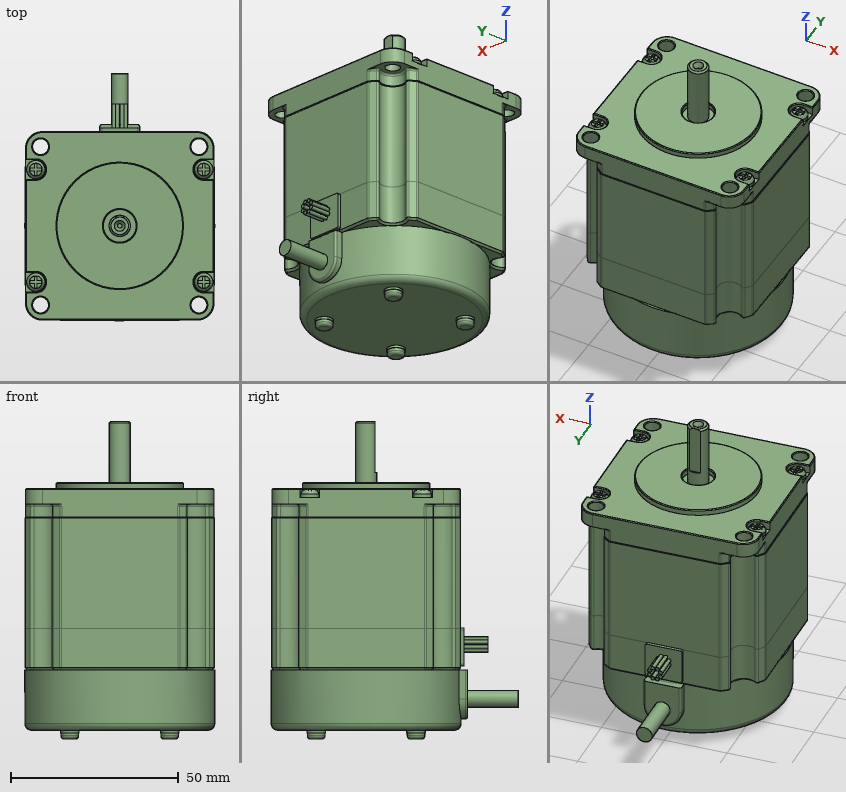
import cadquery as cq

TOTAL_HEIGHT = 94.65
CAP_BOTTOM = 2.65
CAP_TOP = 20.6
STATOR_BOTTOM = 33.0
STATOR_TOP = 65.9
FLANGE_BOTTOM = 69.9
FLANGE_TOP = 74.6
PILOT_TOP = 76.4

STATOR_WIDTH = 56.3
FLANGE_WIDTH = 56.1
FLANGE_CORNER_RADIUS = 5.0
FLANGE_EDGE_CHAMFER = 0.3
BODY_BOTTOM_CHAMFER = 0.7
STATOR_SEAM_CHAMFER = 0.3

CAP_DIAMETER = 56.6
CAP_FILLET = 2.1

RELIEF_START = 10.5
RELIEF_SHOULDER = (7.7, 2.0)
RELIEF_DEPTH = 7.9
RELIEF_START_FILLET = 0.9
RELIEF_SHOULDER_FILLET = 0.8
RELIEF_CEILING_FILLET = 0.7

MOUNT_PITCH = 47.1
MOUNT_HOLE_DIAMETER = 4.7

PILOT_DIAMETER = 38.0
SHAFT_CLEARANCE_DIAMETER = 9.75
PILOT_EDGE_CHAMFER = 0.3

SHAFT_DIAMETER = 6.3
SHAFT_CHAMFER = 0.6
FLAT_OFFSET = 2.65
FLAT_BOTTOM = 79.4
CENTER_HOLE_DIAMETER = 3.2
CENTER_DRILL_DIAMETER = 1.3
CENTER_DRILL_DEPTH = 2.8
CENTER_HOLE_ANGLE = 60

SCREW_X = 25.0
SCREW_Y = 16.8
NOTCH_RADIUS = 2.9
NOTCH_FLOOR = 71.9
HEAD_RADIUS = 2.7
HEAD_HEIGHT = 2.4
HEAD_RIM_HEIGHT = 1.0
HEAD_TOP_RADIUS = 1.9
HEAD_BULGE_RADIUS = 2.5
HEAD_BULGE_HEIGHT = 1.7
CROSS_SPAN = 3.5
CROSS_WIDTH = 0.85
CROSS_DEPTH = 0.85

FOOT_SCREW_OFFSET = 14.9
FOOT_RIM_DIAMETER = 5.6
FOOT_RIM_HEIGHT = 0.8
FOOT_HEAD_DIAMETER = 5.3
FOOT_HEAD_FILLET = 1.0

PLATE_WIDTH = 11.7
PLATE_BOTTOM = 21.8
PLATE_TOP = 33.1
PLATE_END = 29.15
PLATE_CORNER_RADIUS = 0.6

WIRE_COUNT = 8
WIRE_DIAMETER = 1.2
WIRE_RING_RADIUS = 1.9
WIRE_CENTER_Z = 28.2
WIRE_END = 36.3

GROMMET_RADIUS = 6.0
GROMMET_END = 30.2
GROMMET_FILLET = 0.7
CABLE_DIAMETER = 5.0
CABLE_CENTER_Z = 12.0
CABLE_END = 45.3

TOLERANCE = 0.01
ROOT_DEPTH = 2.8


def cylinder(diameter, bottom, top):
    return cq.Workplane("XY").workplane(offset=bottom).circle(diameter / 2).extrude(top - bottom)


def back_plane(start):
    """Sketch plane at Y = start facing +Y; local coordinates are (-X, Z)."""
    return cq.Workplane("XZ", origin=(0, start, 0)).transformed(rotate=(0, 180, 0))


def corner_relief(width, bottom, top, ceiling_fillet=0):
    """Material removed from the (-X, -Y) corner of a square section."""
    along, inward = RELIEF_SHOULDER
    overrun = 2 * RELIEF_START - along
    corner = -width / 2
    relief = (
        cq.Workplane("XY", origin=(corner, corner, bottom))
        .moveTo(-inward, -inward)
        .lineTo(overrun, -inward)
        .lineTo(along, inward)
        .threePointArc((RELIEF_DEPTH, RELIEF_DEPTH), (inward, along))
        .lineTo(-inward, overrun)
        .close()
        .extrude(top - bottom)
    )

    def on_shoulder(edge):
        center = edge.Center()
        return abs(abs(center.x - center.y) - (along - inward)) < TOLERANCE

    relief = relief.edges("|Z").filter(on_shoulder).fillet(RELIEF_SHOULDER_FILLET)
    if ceiling_fillet:
        relief = relief.faces(">Z").edges("not(<X or <Y)").fillet(ceiling_fillet)
    return relief


def body_section(width, bottom, top, ceiling_fillet=0):
    """Square length of housing with a rounded relief along each corner."""
    section = cq.Workplane("XY", origin=(0, 0, bottom)).rect(width, width).extrude(top - bottom)
    relief = corner_relief(width, bottom, top, ceiling_fillet)
    for quarter in range(4):
        section = section.cut(relief.rotate((0, 0, 0), (0, 0, 1), 90 * quarter))

    def on_side(edge):
        center = edge.Center()
        return max(abs(center.x), abs(center.y)) > width / 2 - TOLERANCE

    return section.edges("|Z").filter(on_side).fillet(RELIEF_START_FILLET)


def front_bell():
    """Mounting flange on a relieved housing length, with pilot, holes and screw notches."""
    flange = (
        cq.Workplane("XY", origin=(0, 0, FLANGE_BOTTOM))
        .rect(FLANGE_WIDTH, FLANGE_WIDTH)
        .extrude(FLANGE_TOP - FLANGE_BOTTOM)
        .edges("|Z")
        .fillet(FLANGE_CORNER_RADIUS)
    )
    bell = flange.union(body_section(FLANGE_WIDTH, STATOR_TOP, FLANGE_BOTTOM, RELIEF_CEILING_FILLET))

    mount_holes = (
        cq.Workplane("XY", origin=(0, 0, FLANGE_BOTTOM))
        .rect(MOUNT_PITCH, MOUNT_PITCH, forConstruction=True)
        .vertices()
        .circle(MOUNT_HOLE_DIAMETER / 2)
        .extrude(FLANGE_TOP - FLANGE_BOTTOM)
    )
    bell = bell.cut(mount_holes)

    notch_depth = FLANGE_TOP - NOTCH_FLOOR
    for side in (-1, 1):
        for y in (-SCREW_Y, SCREW_Y):
            notch = cq.Workplane("XY", origin=(side * SCREW_X, y, NOTCH_FLOOR))
            pocket = notch.circle(NOTCH_RADIUS).extrude(notch_depth)
            runout = (
                notch.center(side * NOTCH_RADIUS, 0)
                .rect(2 * NOTCH_RADIUS, 2 * NOTCH_RADIUS)
                .extrude(notch_depth)
            )
            bell = bell.cut(pocket.union(runout))
    bell = bell.faces(">Z").edges().chamfer(FLANGE_EDGE_CHAMFER)

    pilot = cylinder(PILOT_DIAMETER, FLANGE_TOP, PILOT_TOP)
    pilot = pilot.cut(cylinder(SHAFT_CLEARANCE_DIAMETER, FLANGE_TOP, PILOT_TOP))
    pilot = pilot.faces(">Z").edges().chamfer(PILOT_EDGE_CHAMFER)
    bell = bell.union(pilot)
    return bell.faces("<Z").edges().chamfer(STATOR_SEAM_CHAMFER)


def rear_bell():
    bell = body_section(STATOR_WIDTH, CAP_TOP, STATOR_BOTTOM)
    return bell.faces("<Z").edges().chamfer(BODY_BOTTOM_CHAMFER)


def rear_cap():
    return cylinder(CAP_DIAMETER, CAP_BOTTOM, CAP_TOP).faces("<Z").edges().fillet(CAP_FILLET)


def shaft():
    """Output shaft with a flat on its +Y side and a center-drilled tip."""
    body = cylinder(SHAFT_DIAMETER, FLANGE_TOP, TOTAL_HEIGHT).faces(">Z").edges().chamfer(SHAFT_CHAMFER)
    flat = (
        cq.Workplane("XY", origin=(0, FLAT_OFFSET + SHAFT_DIAMETER / 2, FLAT_BOTTOM))
        .rect(SHAFT_DIAMETER, SHAFT_DIAMETER)
        .extrude(TOTAL_HEIGHT - FLAT_BOTTOM)
    )
    return (
        body.cut(flat)
        .faces(">Z")
        .workplane(origin=(0, 0, TOTAL_HEIGHT))
        .cskHole(CENTER_DRILL_DIAMETER, CENTER_HOLE_DIAMETER, CENTER_HOLE_ANGLE, CENTER_DRILL_DEPTH)
    )


def flange_screw_head():
    """Domed cross-recess head standing on Z = 0."""
    head = (
        cq.Workplane("XZ")
        .lineTo(HEAD_RADIUS, 0)
        .lineTo(HEAD_RADIUS, HEAD_RIM_HEIGHT)
        .threePointArc((HEAD_BULGE_RADIUS, HEAD_BULGE_HEIGHT), (HEAD_TOP_RADIUS, HEAD_HEIGHT))
        .lineTo(0, HEAD_HEIGHT)
        .close()
        .revolve(360, (0, 0), (0, 1))
    )
    recess = cq.Workplane("XY", origin=(0, 0, HEAD_HEIGHT - CROSS_DEPTH))
    head = head.cut(recess.rect(CROSS_SPAN, CROSS_WIDTH).extrude(CROSS_DEPTH))
    return head.cut(recess.rect(CROSS_WIDTH, CROSS_SPAN).extrude(CROSS_DEPTH))


def foot_screw_head():
    """Round-edged head with a slightly wider rim, hanging below the rear cap."""
    head = cylinder(FOOT_HEAD_DIAMETER, 0, CAP_BOTTOM).faces("<Z").edges().fillet(FOOT_HEAD_FILLET)
    return head.union(cylinder(FOOT_RIM_DIAMETER, CAP_BOTTOM - FOOT_RIM_HEIGHT, CAP_BOTTOM))


def connector():
    """Rounded plate on the rear bell's +Y side with a ring of lead wires."""
    plate = (
        back_plane(STATOR_WIDTH / 2 - ROOT_DEPTH)
        .center(0, (PLATE_BOTTOM + PLATE_TOP) / 2)
        .rect(PLATE_WIDTH, PLATE_TOP - PLATE_BOTTOM)
        .extrude(PLATE_END - STATOR_WIDTH / 2 + ROOT_DEPTH)
        .edges("|Y")
        .fillet(PLATE_CORNER_RADIUS)
    )
    wires = (
        back_plane(PLATE_END)
        .center(0, WIRE_CENTER_Z)
        .polarArray(WIRE_RING_RADIUS, 180 / WIRE_COUNT, 360, WIRE_COUNT)
        .circle(WIRE_DIAMETER / 2)
        .extrude(WIRE_END - PLATE_END)
    )
    return plate.union(wires)


def cable_exit():
    """U-shaped grommet on the cap's +Y side with the round cable leaving it."""
    root = CAP_DIAMETER / 2 - ROOT_DEPTH
    grommet = (
        back_plane(root)
        .moveTo(-GROMMET_RADIUS, CAP_TOP)
        .lineTo(-GROMMET_RADIUS, CABLE_CENTER_Z)
        .threePointArc((0, CABLE_CENTER_Z - GROMMET_RADIUS), (GROMMET_RADIUS, CABLE_CENTER_Z))
        .lineTo(GROMMET_RADIUS, CAP_TOP)
        .close()
        .extrude(GROMMET_END - root)
    )
    grommet = grommet.faces(">Y").edges("not >Z").fillet(GROMMET_FILLET)
    cable = (
        back_plane(root)
        .center(0, CABLE_CENTER_Z)
        .circle(CABLE_DIAMETER / 2)
        .extrude(CABLE_END - root)
    )
    return grommet.union(cable)


stator = body_section(STATOR_WIDTH, STATOR_BOTTOM, STATOR_TOP)
result = rear_bell()
for component in (stator, front_bell(), rear_cap(), shaft(), connector(), cable_exit()):
    result = result.union(component, clean=False)

flange_head = flange_screw_head()
foot_head = foot_screw_head()
for x_side in (-1, 1):
    for y_side in (-1, 1):
        flange_place = (x_side * SCREW_X, y_side * SCREW_Y, NOTCH_FLOOR)
        foot_place = (x_side * FOOT_SCREW_OFFSET, y_side * FOOT_SCREW_OFFSET, 0)
        result = result.union(flange_head.translate(flange_place), clean=False)
        result = result.union(foot_head.translate(foot_place), clean=False)